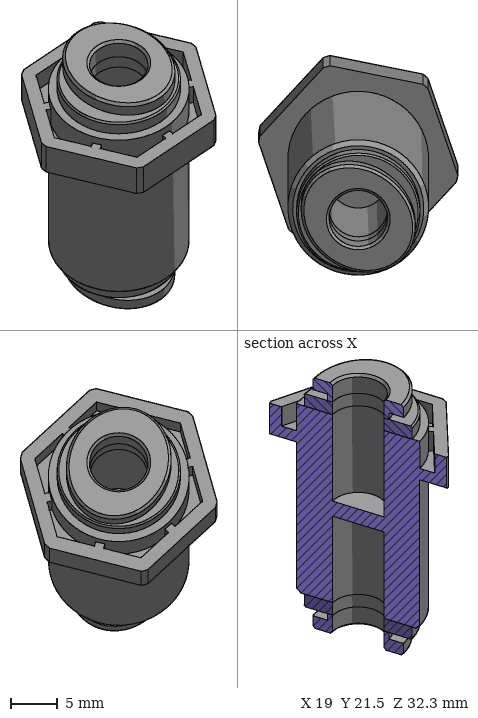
import cadquery as cq

total_length = 32.3
head_height = 1.6
neck_height = 0.78
collar_height = 1.6

bore_diameter = 6.2
bore_stop_thickness = 2.0

head_length_x = 13.0
head_width_y = 11.0
head_chamfer = 0.3
neck_diameter = 7.5
mouth_chamfer = 0.3

collar_diameter = 13.15
collar_chamfer = 0.2

barrel_diameter = 15.0
barrel_chamfer = 0.52

hex_across_flats = 19.0
hex_corner_diameter = 21.5
hex_height = 4.0
barrel_above_hex = 1.0
hex_wall = 1.5
pocket_depth = 2.5
rib_width = 1.0
hex_side_count = 6

sleeve_height = head_height + neck_height
housing_bottom = sleeve_height + collar_height
housing_top = total_length - housing_bottom
housing_length = housing_top - housing_bottom
mid_height = total_length / 2
hex_top = housing_top - barrel_above_hex
hex_bottom = hex_top - hex_height
pocket_across_flats = hex_across_flats - 2 * hex_wall
side_angle = 360 / hex_side_count
bore_depth = (housing_length - bore_stop_thickness) / 2


def cylinder(diameter, bottom, height):
    """Upright cylinder on the Z axis."""
    return cq.Workplane("XY").workplane(offset=bottom).circle(diameter / 2).extrude(height)


def hexagon(across_flats, bottom, height):
    """Hexagonal prism with two of its flats facing +X and -X."""
    return (
        cq.Workplane("XY")
        .workplane(offset=bottom)
        .polygon(hex_side_count, across_flats, circumscribed=True)
        .extrude(height)
    )


def make_flange():
    """Hexagonal flange with turned corners, hollowed from above around the ribs."""
    corner_round = cylinder(hex_corner_diameter, hex_bottom, hex_height)
    flange = hexagon(hex_across_flats, hex_bottom, hex_height).intersect(corner_round)
    pocket = hexagon(pocket_across_flats, hex_top - pocket_depth, pocket_depth)
    for index in range(hex_side_count // 2):
        rib_pair = (
            cq.Workplane("XY")
            .box(hex_across_flats, rib_width, total_length, centered=(True, True, False))
            .rotate((0, 0, 0), (0, 0, 1), index * side_angle)
        )
        pocket = pocket.cut(rib_pair)
    return flange.cut(pocket)


def make_housing():
    """Barrel with the hexagonal flange, bored from both ends up to a central stop."""
    barrel = cylinder(barrel_diameter, housing_bottom, housing_length).faces("<Z").chamfer(barrel_chamfer)
    housing = barrel.union(make_flange())
    for bore_bottom in (housing_bottom, housing_top - bore_depth):
        housing = housing.cut(cylinder(bore_diameter, bore_bottom, bore_depth))
    return housing


def make_upper_collar():
    """Ring seated on the top end of the housing, chamfered on its outer rim."""
    collar = cylinder(collar_diameter, housing_top, collar_height).faces(">Z").chamfer(collar_chamfer)
    return collar.cut(cylinder(bore_diameter, housing_top, collar_height))


def make_upper_sleeve():
    """Round neck standing on the upper collar, with an elliptical push head at the end."""
    neck_bottom = total_length - sleeve_height
    neck = cylinder(neck_diameter, neck_bottom, neck_height)
    head = (
        cq.Workplane("XY")
        .workplane(offset=total_length - head_height)
        .ellipse(head_length_x / 2, head_width_y / 2)
        .extrude(head_height)
        .faces(">Z")
        .chamfer(head_chamfer)
    )
    sleeve = neck.union(head).cut(cylinder(bore_diameter, neck_bottom, sleeve_height))
    return sleeve.faces(">Z").edges("%CIRCLE").chamfer(mouth_chamfer)


def both_ends(upper_body):
    """The body and its mirror image at the other end of the housing."""
    lower_body = upper_body.mirror("XY", (0, 0, mid_height))
    return [upper_body.val(), lower_body.val()]


housing = make_housing()
collars = both_ends(make_upper_collar())
sleeves = both_ends(make_upper_sleeve())

result = cq.Compound.makeCompound([housing.val(), *collars, *sleeves])